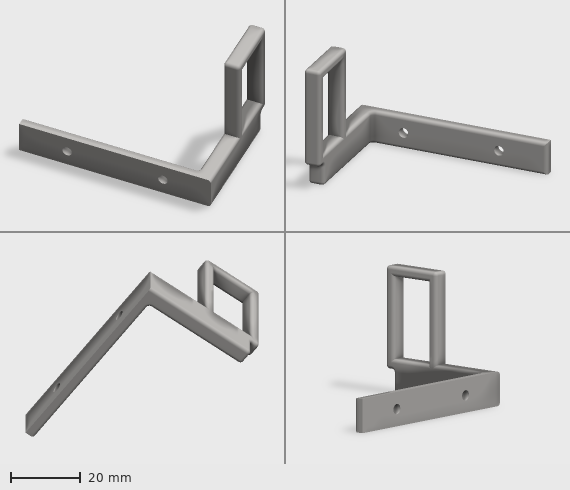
import cadquery as cq

plate_length = 60
plate_thickness = 3
plate_height = 10.0
hole_diameter = 3
hole_positions = (15, 45)

arm_thickness = 5.0
arm_end = 36
arm_inner_face = plate_length - arm_thickness

frame_end = 39
frame_width = 19.0
frame_bar = 3
frame_top = 37.0
frame_start = frame_end - frame_width
frame_bottom = plate_height - frame_bar

edge_radius = 1.0
tolerance = 0.005


def make_box(x_range, y_range, z_range):
    """Box spanning the given (low, high) pair on each axis."""
    spans = [high - low for low, high in (x_range, y_range, z_range)]
    corner = (x_range[0], y_range[0], z_range[0])
    return cq.Workplane("XY").box(*spans, centered=False).translate(corner)


def make_bracket():
    """Plate, arm and open frame, all with sharp edges."""
    arm_x = (arm_inner_face, plate_length)
    plate = make_box((0, plate_length), (0, plate_thickness), (0, plate_height))
    arm = make_box(arm_x, (0, arm_end), (0, plate_height))
    frame = make_box(arm_x, (frame_start, frame_end), (frame_bottom, frame_top))
    window = make_box(
        arm_x,
        (frame_start + frame_bar, frame_end - frame_bar),
        (plate_height, frame_top - frame_bar),
    )
    return plate.union(arm).union(frame).cut(window).clean()


def is_rounded(edge):
    """Leave the mounting face, plate end, window corners and frame foot sharp."""
    box = edge.BoundingBox()
    center = edge.Center()
    on_mounting_face = box.ymax < tolerance
    across_plate = box.xmax < tolerance and box.ylen > tolerance
    across_arm = abs(box.xlen - arm_thickness) < tolerance
    inside_frame_top = center.z < frame_top - tolerance
    window_corner_or_foot = across_arm and plate_height - tolerance < center.z and inside_frame_top
    return not (on_mounting_face or across_plate or window_corner_or_foot)


def round_edges(body):
    edges = [edge for edge in body.edges().vals() if is_rounded(edge)]
    return body.newObject(edges).fillet(edge_radius)


def drill_holes(body):
    """Mounting holes through the plate at mid height."""
    centers = [(x, plate_height / 2) for x in hole_positions]
    drills = (
        cq.Workplane("XZ")
        .pushPoints(centers)
        .circle(hole_diameter / 2)
        .extrude(-plate_thickness)
    )
    return body.cut(drills)


result = drill_holes(round_edges(make_bracket()))